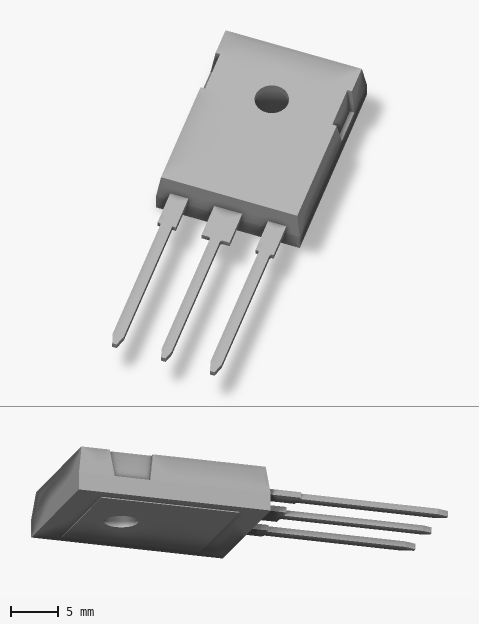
import cadquery as cq

total_length = 41.3
total_height = 5.05
back_y = total_length / 2
tip_y = -total_length / 2

body_width = 15.9
body_length = 21.05
pad_thickness = 0.1
parting_z = 2.02
upper_height = total_height - parting_z
top_inset = 0.4
body_center_y = back_y - body_length / 2
front_y = back_y - body_length

hole_diameter = 3.6
hole_y = back_y - 7.25

notch_back_y = back_y - 3.5
notch_length = 4.75
notch_depth = 0.9
notch_taper = 0.4

pad_width = 13.05
pad_length = 15.15
pad_back_y = back_y - 2.95

lead_pitch = 5.4
lead_bottom_z = 2.45
lead_thickness = 0.6
shoulder_length = 3.85
outer_shoulder_width = 2.02
outer_shank_width = 1.25
middle_shoulder_width = 3.1
middle_shank_width = 1.1
tip_width = 0.5
tip_slope = 3.3
shoulder_radius = 0.25
lead_embed = 1.25


def make_frustum(bottom_size, top_size, center, bottom_z, height):
    """Rectangular block whose sides lean between two (X, Y) sizes."""
    return (
        cq.Workplane("XY", origin=(*center, bottom_z))
        .rect(*bottom_size)
        .workplane(offset=height)
        .rect(*top_size)
        .loft(ruled=True)
    )


def make_body():
    lower = (
        cq.Workplane("XY", origin=(0, body_center_y, pad_thickness))
        .rect(body_width, body_length)
        .extrude(parting_z - pad_thickness)
    )
    upper = make_frustum(
        (body_width, body_length),
        (body_width - 2 * top_inset, body_length - 2 * top_inset),
        (0, body_center_y),
        parting_z,
        upper_height,
    )
    return lower.union(upper)


def make_notch(side):
    """Cutter centred on the body side, narrowing down to the parting plane."""
    return make_frustum(
        (2 * (notch_depth - notch_taper), notch_length - 2 * notch_taper),
        (2 * notch_depth, notch_length),
        (side * body_width / 2, notch_back_y - notch_length / 2),
        parting_z,
        upper_height,
    )


def make_pad():
    return (
        cq.Workplane("XY", origin=(0, pad_back_y - pad_length / 2, 0))
        .rect(pad_width, pad_length)
        .extrude(parting_z)
    )


def make_lead(center_x, shoulder_width, shank_width, rounded_sides):
    """Flat lead; rounded_sides lists the sides (-1, 1) with a fillet under the shoulder."""
    shoulder_y = front_y - shoulder_length
    taper_length = tip_slope * (shank_width - tip_width) / 2
    right_edge = [
        (shoulder_width / 2, front_y + lead_embed),
        (shoulder_width / 2, shoulder_y),
        (shank_width / 2, shoulder_y),
        (shank_width / 2, tip_y + taper_length),
        (tip_width / 2, tip_y),
    ]
    left_edge = [(-x, y) for x, y in reversed(right_edge)]
    lead = (
        cq.Workplane("XY", origin=(center_x, 0, lead_bottom_z))
        .polyline(right_edge + left_edge)
        .close()
        .extrude(lead_thickness)
    )
    for side in rounded_sides:
        corner = (center_x + side * shank_width / 2, shoulder_y, lead_bottom_z + lead_thickness / 2)
        lead = lead.edges(cq.NearestToPointSelector(corner)).fillet(shoulder_radius)
    return lead


result = make_body().union(make_pad())
for side in (-1, 1):
    result = result.cut(make_notch(side))

hole = (
    cq.Workplane("XY", origin=(0, hole_y, 0))
    .circle(hole_diameter / 2)
    .extrude(total_height)
)
result = result.cut(hole)

result = result.union(make_lead(0, middle_shoulder_width, middle_shank_width, (-1, 1)))
for side in (-1, 1):
    outer_lead = make_lead(side * lead_pitch, outer_shoulder_width, outer_shank_width, (side,))
    result = result.union(outer_lead)